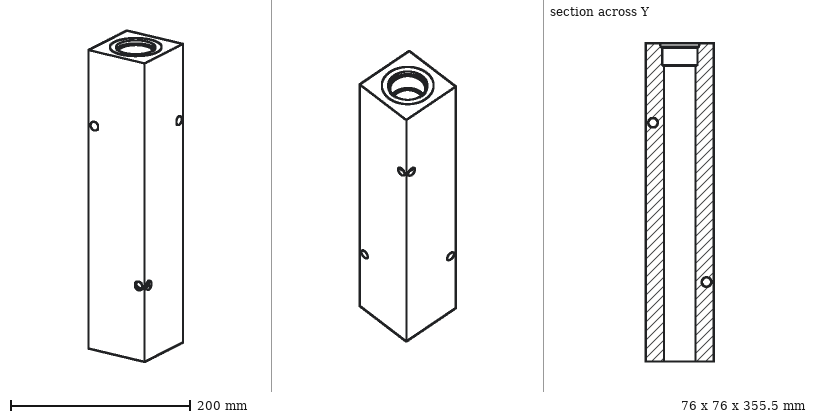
import cadquery as cq
import math

length = 355.5
width = 76.0

bore_diameter = 35.0

mouth_diameter = 44.0
wall_diameter = 39.0
seal_cone_depth = 3.2
seal_cone_half_angle = 15
port_depth = 24.0
drill_point_half_angle = 59

face_diameter = 58.0
face_depth = 0.5

hole_diameter = 10.3
hole_edge_distance = 8.2
hole_offset = width / 2 - hole_edge_distance
hole_levels = (length / 4, length * 3 / 4)


def bore():
    return cq.Workplane("XY").circle(bore_diameter / 2).extrude(length)


def cross_hole(plane, position, level):
    """Through hole square to the given plane, offset sideways from the bore axis."""
    return (
        cq.Workplane(plane)
        .center(position, level)
        .circle(hole_diameter / 2)
        .extrude(width / 2, both=True)
    )


def port():
    """Sealing face and stepped port as one turned profile."""
    face_level = length - face_depth
    cone_level = face_level - seal_cone_depth
    shoulder_level = face_level - port_depth
    mouth_radius = mouth_diameter / 2
    cone_radius = mouth_radius - seal_cone_depth * math.tan(math.radians(seal_cone_half_angle))
    wall_radius = wall_diameter / 2
    bore_radius = bore_diameter / 2
    lead_in = cone_radius - wall_radius
    shoulder_drop = (wall_radius - bore_radius) / math.tan(math.radians(drill_point_half_angle))
    return (
        cq.Workplane("XZ")
        .moveTo(0, length)
        .lineTo(face_diameter / 2, length)
        .lineTo(face_diameter / 2, face_level)
        .lineTo(mouth_radius, face_level)
        .lineTo(cone_radius, cone_level)
        .lineTo(wall_radius, cone_level - lead_in)
        .lineTo(wall_radius, shoulder_level)
        .lineTo(bore_radius, shoulder_level - shoulder_drop)
        .lineTo(0, shoulder_level - shoulder_drop)
        .close()
        .revolve(360, (0, 0, 0), (0, 1, 0))
    )


block = cq.Workplane("XY").rect(width, width).extrude(length)
result = block.cut(bore()).cut(port())

for level, side in zip(hole_levels, (1, -1)):
    result = result.cut(cross_hole("XZ", side * hole_offset, level))
    result = result.cut(cross_hole("YZ", -side * hole_offset, level))